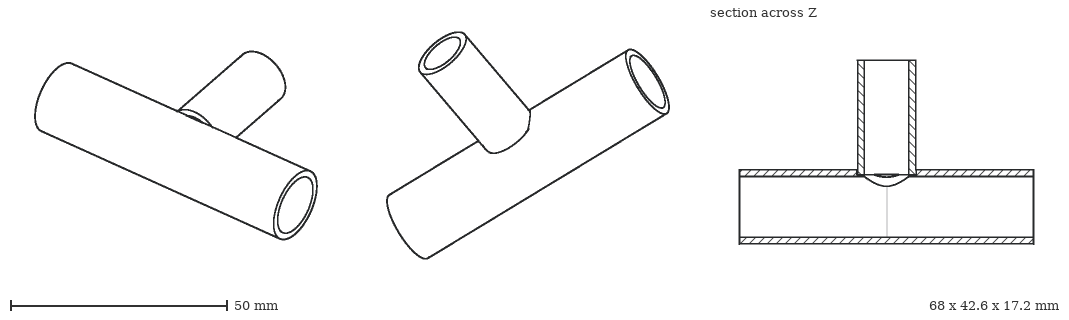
import cadquery as cq

MAIN_LENGTH = 68.0
MAIN_OUTER_DIAMETER = 17.2
MAIN_BORE_DIAMETER = 14.0

BRANCH_OUTER_DIAMETER = 13.5
BRANCH_BORE_DIAMETER = 10.3
BRANCH_LENGTH = 26.5
OVERALL_DEPTH = 42.6

BRANCH_FAR_Y = OVERALL_DEPTH - MAIN_OUTER_DIAMETER / 2
BRANCH_NEAR_Y = BRANCH_FAR_Y - BRANCH_LENGTH


def cylinder_along_x(diameter):
    """Cylinder as long as the main tube, centred on the X axis."""
    return cq.Workplane("YZ").circle(diameter / 2).extrude(MAIN_LENGTH / 2, both=True)


def cylinder_along_y(diameter, start_y, end_y):
    """Cylinder on the Y axis between two Y positions."""
    plane = cq.Plane(origin=(0, start_y, 0), xDir=(1, 0, 0), normal=(0, 1, 0))
    return cq.Workplane(plane).circle(diameter / 2).extrude(end_y - start_y)


def make_main_tube():
    """Main tube with a port through one wall and a flat-bottomed seat for the branch around it."""
    tube = cylinder_along_x(MAIN_OUTER_DIAMETER).cut(cylinder_along_x(MAIN_BORE_DIAMETER))
    port = cylinder_along_y(BRANCH_BORE_DIAMETER, 0, BRANCH_FAR_Y)
    seat = cylinder_along_y(BRANCH_OUTER_DIAMETER, BRANCH_NEAR_Y, BRANCH_FAR_Y)
    return tube.cut(port).cut(seat)


def make_branch_tube():
    """Square-ended branch tube whose near end sits in the seat of the main tube."""
    outer = cylinder_along_y(BRANCH_OUTER_DIAMETER, BRANCH_NEAR_Y, BRANCH_FAR_Y)
    bore = cylinder_along_y(BRANCH_BORE_DIAMETER, BRANCH_NEAR_Y, BRANCH_FAR_Y)
    return outer.cut(bore)


main_tube = make_main_tube()
branch_tube = make_branch_tube()

result = cq.Compound.makeCompound([main_tube.val(), branch_tube.val()])